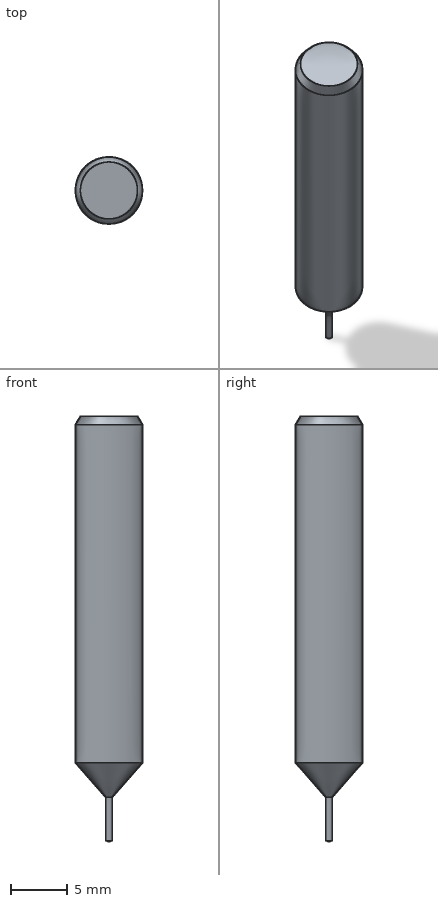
import cadquery as cq

total_length = 38.0
shank_radius = 3.0
top_radius = 2.55
bevel_height = 0.75
taper_height = 3.08
cutter_radius = 0.3
cutter_length = 4.0
point_height = 0.1

taper_top = cutter_length + taper_height
bevel_bottom = total_length - bevel_height


def turned(profile):
    """Revolve a closed (radius, height) outline about the Z axis."""
    return cq.Workplane("XZ").polyline(profile).close().revolve(360, (0, 0, 0), (0, 1, 0))


def make_shank():
    """Cylindrical shank, bevelled at the top and tapering down to the cutter."""
    return turned([
        (0, cutter_length),
        (cutter_radius, cutter_length),
        (shank_radius, taper_top),
        (shank_radius, bevel_bottom),
        (top_radius, total_length),
        (0, total_length),
    ])


def make_cutter():
    """Thin round cutter with a shallow conical point, butted against the taper."""
    return turned([
        (0, 0),
        (cutter_radius, point_height),
        (cutter_radius, cutter_length),
        (0, cutter_length),
    ])


shank = make_shank()
cutter = make_cutter()

result = cq.Compound.makeCompound([shank.val(), cutter.val()])